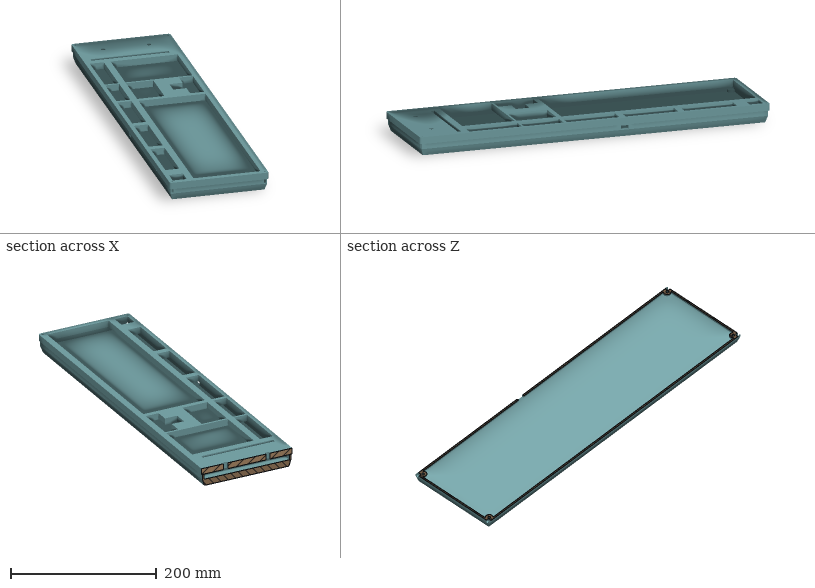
import cadquery as cq
lid_length = 510.0
lid_width = 141.0
lid_thickness = 9.5
tray_height = 17.5
corner_radius = 3.0

tray_inset_x = 2.5
tray_inset_y = 1.5
tray_length = lid_length - 2 * tray_inset_x
tray_width = lid_width - 2 * tray_inset_y
chamfer_height = 9.5
chamfer_inset = 3.0
wall_thickness = 3.0
floor_thickness = 10.0

post_diameter = 11.0
post_height = 3.5
post_hole_diameter = 2.8
post_x = lid_length / 2 - 9.5
post_y = lid_width / 2 - 8.0

port_width = 10.5
port_height = 5.5
port_depth = 2 * wall_thickness
port_x = 44.0

key_pitch = 19.0
key_clearance = 1.0
right_margin = 7.5
front_margin = 6.0
back_margin = 9.5
pad_gap = 3.0
pad_left = -181.0
function_left = -39.0
function_pitch = 85.5
function_count = 3
row_front = -lid_width / 2 + front_margin
block_back = lid_width / 2 - back_margin
block_right = lid_length / 2 - right_margin

screw_hole_inset = 4.5
screw_hole_diameter = 3.0
tray_screw_hole_diameter = 5.0
screw_x = lid_length / 2 - screw_hole_inset
screw_y = lid_width / 2 - screw_hole_inset

knob_hole_diameter = 6.0
knob_hole_x = -225.5
knob_hole_ys = (-33.0, 32.0)
slot_width = 5.0
slot_length = 111.0
slot_x = -194.0
slot_y = -3.5


def span(keys):
    """Length of an opening that holds a row of keys."""
    return keys * key_pitch + key_clearance


def mirrored(x, y):
    """The four points at (+-x, +-y)."""
    return [(sx * x, sy * y) for sx in (-1, 1) for sy in (-1, 1)]


def cylinders(points, diameter, bottom, height):
    """Upright cylinders of one size standing at the given points."""
    return (
        cq.Workplane("XY")
        .workplane(offset=bottom)
        .pushPoints(points)
        .circle(diameter / 2)
        .extrude(height)
    )


def opening(left, front, keys_x, keys_y):
    """Cutter for a rectangular lid opening, placed by its front left corner."""
    return (
        cq.Workplane("XY")
        .workplane(offset=tray_height)
        .moveTo(left, front)
        .rect(span(keys_x), span(keys_y), centered=False)
        .extrude(lid_thickness)
    )


def key_openings():
    """Cutters for all the key openings in the lid."""
    block_front = block_back - span(5)
    nav_left = pad_left + span(4) + pad_gap
    cutters = [
        opening(pad_left, block_front, 4, 5),
        opening(block_right - span(15), block_front, 15, 5),
        opening(nav_left, block_front, 3, 2),
        opening(nav_left, block_back - span(1), 3, 1),
        opening(nav_left + key_pitch, block_back - span(2), 1, 2),
        opening(pad_left, row_front, 4, 1),
        opening(nav_left, row_front, 3, 1),
        opening(block_right - span(1), row_front, 1, 1),
    ]
    for i in range(function_count):
        cutters.append(opening(function_left + function_pitch * i, row_front, 4, 1))
    return cutters


def make_lid():
    lid = (
        cq.Workplane("XY")
        .workplane(offset=tray_height)
        .rect(lid_length, lid_width)
        .extrude(lid_thickness)
        .edges("|Z")
        .fillet(corner_radius)
    )
    for cutter in key_openings():
        lid = lid.cut(cutter)
    knob_points = [(knob_hole_x, y) for y in knob_hole_ys]
    screw_points = mirrored(screw_x, screw_y)
    slot = (
        cq.Workplane("XY")
        .workplane(offset=tray_height)
        .center(slot_x, slot_y)
        .rect(slot_width, slot_length)
        .extrude(lid_thickness)
    )
    lid = lid.cut(cylinders(screw_points, screw_hole_diameter, tray_height, lid_thickness))
    lid = lid.cut(cylinders(knob_points, knob_hole_diameter, tray_height, lid_thickness))
    return lid.cut(slot)


def make_tray():
    tray = (
        cq.Workplane("XY")
        .rect(tray_length, tray_width)
        .extrude(tray_height)
        .faces("<Z")
        .chamfer(chamfer_height, chamfer_inset)
    )
    cavity = (
        cq.Workplane("XY")
        .workplane(offset=floor_thickness)
        .rect(tray_length - 2 * wall_thickness, tray_width - 2 * wall_thickness)
        .extrude(tray_height - floor_thickness)
    )
    post_points = mirrored(post_x, post_y)
    posts = cylinders(post_points, post_diameter, floor_thickness, post_height)
    post_holes = cylinders(post_points, post_hole_diameter, floor_thickness, post_height)
    screw_holes = cylinders(
        mirrored(screw_x, screw_y),
        tray_screw_hole_diameter,
        chamfer_height,
        tray_height - chamfer_height,
    )
    port = (
        cq.Workplane("XY")
        .workplane(offset=floor_thickness)
        .center(port_x, -tray_width / 2)
        .rect(port_width, 2 * port_depth)
        .extrude(port_height)
    )
    return tray.cut(cavity).union(posts).cut(post_holes).cut(port).cut(screw_holes)


lid = make_lid()
tray = make_tray()
result = cq.Compound.makeCompound([lid.val(), tray.val()])